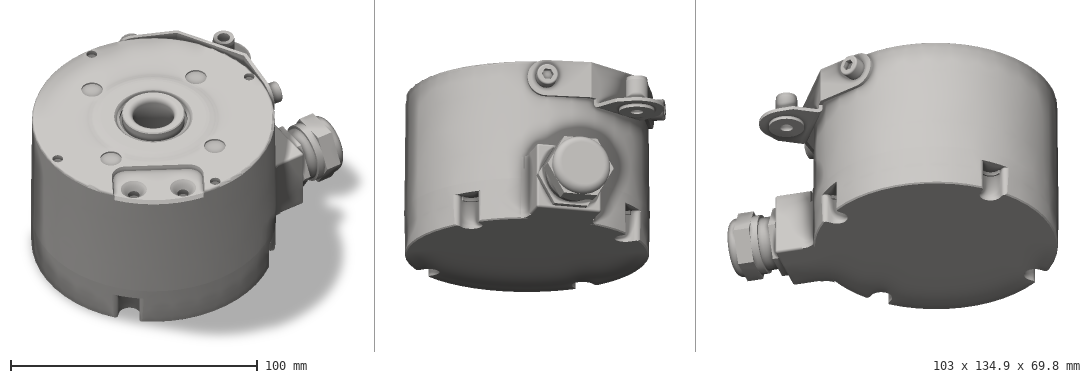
import cadquery as cq
import math

base_radius = 49.5
seam_radius = 49.8
cover_radius = 49.2
seam_height = 17.1
cover_top = 67.0
rim_round = 1.1
base_chamfer = 0.5

cone_foot_radius = 26.4
cone_outer_radius = 25.2
cone_inner_radius = 22.8
cone_head_radius = 21.5
cone_rise = 0.8
cone_edge_rise = 0.1
groove_outer_radius = 15.9
groove_shelf_outer_radius = 14.8
groove_shelf_inner_radius = 13.8
groove_shelf_depth = 1.3
groove_depth = 2.7
shaft_radius = 12.7
shaft_top = 69.8
shaft_chamfer = 0.4
bore_radius = 8.4
bore_round = 2.2
bore_floor = seam_height
centre_hole_radius = 3.0
centre_hole_depth = 4.0

blind_hole_radius = 4.3
blind_hole_circle = 30.2
blind_hole_angle = 22.5
blind_hole_depth = 0.8
cover_screw_radius = 2.2
cover_screw_circle = 46.1
cover_screw_depth = 2.0
drill_point_angle = 118

pocket_angle = -30
pocket_inner = 29.7
pocket_half_width = 18.1
pocket_depth = 2.0
pocket_corner = 5.4
pocket_wall_slope = 15
pocket_edge_chamfer = 1.2
sink_distance = 41.0
sink_spacing = 20.0
sink_radius = 5.3
sink_hole_radius = 2.3
sink_hole_depth = 5.4

notch_angles = (45, 135, 225, 315)
notch_circle = 45.8
notch_radius = 4.5
notch_mouth = 49.2
notch_mouth_half_width = 6.5
notch_height = 13.0
notch_shelf_height = 11.3
notch_upper_radius = 3.8

box_half_width = 13.5
box_height = 27.0
box_end = 63.9
box_round = 1.0
flare_start = 51.5
flare_end = 47.2
flare_half_width = 15.6
relief_inner = 47.7
relief_outer = 48.7
relief_floor = 20.9
gland_height = 13.2
gland_hex_flats = 24.0
gland_nut_end = 66.7
gland_neck_end = 71.9
gland_collar_end = 74.8
gland_hex_end = 81.3
gland_end = 85.1
gland_neck_radius = 10.8
gland_cap_radius = 12.0
gland_cap_round = 3.0

bracket_angle = 120
fold_angle = 36.9
sheet = 1.5
middle_inner = 50.4
side_inner = 49.5
bracket_top = cover_top
bracket_height = 15.0
bracket_bottom = bracket_top - bracket_height
screw_height = bracket_top - bracket_height / 2
screw_head_radius = 4.3
screw_head_end = 56.2
screw_head_round = 0.7
socket_across_corners = 4.9
socket_depth = 2.4

tab_half_width = 12.7
tab_bottom = 48.4
tab_shoulder = 62.7
tab_end_radius = 11.0
tab_taper = 60
bend_radius = 0.8
pin_distance = 62.3
pin_radius = 4.5
pin_top = 61.4
pin_chamfer_height = 1.6
pin_chamfer_width = 0.3
pin_bore_radius = 2.5
washer_radius = 5.5
washer_thickness = 1.1
pin_flange_radius = 7.1
pin_flange_thickness = 1.3


quarter_arc_middle = math.cos(math.radians(45))


def cylinder(radius, bottom, top, x=0, y=0):
    return cq.Workplane("XY", origin=(x, y, bottom)).circle(radius).extrude(top - bottom)


def drilled_hole(radius, bottom, top, x, y):
    point_depth = radius / math.tan(math.radians(drill_point_angle / 2))
    point = cq.Solid.makeCone(0, radius, point_depth, cq.Vector(x, y, bottom - point_depth))
    return cylinder(radius, bottom, top, x, y).union(cq.Workplane(point))


def about_axis(shape, angle):
    return shape.rotate((0, 0, 0), (0, 0, 1), angle)


def on_circle(radius, count, start):
    return [
        (radius * math.cos(math.radians(start + i * 360 / count)),
         radius * math.sin(math.radians(start + i * 360 / count)))
        for i in range(count)
    ]


def round_housing():
    cone_top = cover_top + cone_rise
    rim_diagonal = rim_round * quarter_arc_middle
    bore_diagonal = bore_round * quarter_arc_middle
    bore_centre = bore_radius + bore_round
    profile = (
        cq.Workplane("XZ")
        .moveTo(0, 0)
        .lineTo(base_radius - base_chamfer, 0)
        .lineTo(base_radius, base_chamfer)
        .lineTo(seam_radius, seam_height)
        .lineTo(cover_radius, cover_top - rim_round)
        .threePointArc(
            (cover_radius - rim_round + rim_diagonal, cover_top - rim_round + rim_diagonal),
            (cover_radius - rim_round, cover_top),
        )
        .lineTo(cone_foot_radius, cover_top)
        .lineTo(cone_outer_radius, cover_top + cone_edge_rise)
        .lineTo(cone_inner_radius, cone_top - cone_edge_rise)
        .lineTo(cone_head_radius, cone_top)
        .lineTo(groove_outer_radius, cone_top)
        .lineTo(groove_shelf_outer_radius, cone_top - groove_shelf_depth)
        .lineTo(groove_shelf_inner_radius, cone_top - groove_shelf_depth)
        .lineTo(groove_shelf_inner_radius, cone_top - groove_depth)
        .lineTo(shaft_radius, cone_top - groove_depth)
        .lineTo(shaft_radius, shaft_top - shaft_chamfer)
        .lineTo(shaft_radius - shaft_chamfer, shaft_top)
        .lineTo(bore_centre, shaft_top)
        .threePointArc(
            (bore_centre - bore_diagonal, shaft_top - bore_round + bore_diagonal),
            (bore_radius, shaft_top - bore_round),
        )
        .lineTo(bore_radius, bore_floor)
        .lineTo(centre_hole_radius, bore_floor)
        .lineTo(centre_hole_radius, bore_floor - centre_hole_depth)
        .lineTo(0, bore_floor - centre_hole_depth)
        .close()
    )
    return profile.revolve(360, (0, 0, 0), (0, 1, 0))


def connection_box():
    length = box_end - flare_end
    box = (
        cq.Workplane("XY", origin=(0, flare_end + length / 2, 0))
        .rect(2 * box_half_width, length)
        .extrude(box_height)
        .edges("|Y")
        .fillet(box_round)
        .faces(">Y")
        .edges()
        .fillet(box_round)
    )
    flare = (
        cq.Workplane("XY")
        .moveTo(box_half_width, flare_start + box_round)
        .lineTo(box_half_width, flare_start)
        .tangentArcPoint((flare_half_width, flare_end), relative=False)
        .lineTo(0, flare_end)
        .lineTo(0, flare_start + box_round)
        .close()
        .extrude(box_height - box_round)
    )
    return box.union(flare).union(flare.mirror("YZ"))


def gland():
    across_corners = gland_hex_flats / math.cos(math.radians(30))

    def section_at(end):
        return cq.Workplane("XZ", origin=(0, end, gland_height))

    def hexagon(start, end):
        return section_at(end).polygon(6, across_corners).extrude(end - start)

    def disc(radius, start, end):
        return section_at(end).circle(radius).extrude(end - start)

    cap = disc(gland_cap_radius, gland_hex_end, gland_end).faces(">Y").edges().fillet(gland_cap_round)
    return (
        hexagon(box_end, gland_nut_end)
        .union(disc(gland_neck_radius, gland_nut_end, gland_neck_end))
        .union(disc(gland_cap_radius, gland_neck_end, gland_collar_end))
        .union(hexagon(gland_collar_end, gland_hex_end))
        .union(cap)
    )


def box_relief():
    return (
        cq.Workplane("XY", origin=(0, (relief_inner + relief_outer) / 2, relief_floor))
        .rect(2 * flare_half_width, relief_outer - relief_inner)
        .extrude(box_height - relief_floor)
    )


def cover_holes():
    blind_floor = cover_top - blind_hole_depth
    screw_floor = cover_top - cover_screw_depth
    holes = cq.Workplane("XY")
    for x, y in on_circle(blind_hole_circle, 4, blind_hole_angle):
        holes = holes.union(cylinder(blind_hole_radius, blind_floor, shaft_top, x, y))
    for x, y in on_circle(cover_screw_circle, 4, 0):
        holes = holes.union(drilled_hole(cover_screw_radius, screw_floor, shaft_top, x, y))
    return holes


def edge_pocket():
    floor = cover_top - pocket_depth
    length = seam_radius
    middle = pocket_inner + length / 2
    outline = cq.Sketch().rect(length, 2 * pocket_half_width).vertices().fillet(pocket_corner)
    pocket = (
        cq.Workplane("XY", origin=(middle, 0, floor))
        .placeSketch(outline)
        .extrude(pocket_depth, taper=-pocket_wall_slope)
    )
    rim = (
        cq.Workplane("XZ")
        .moveTo(cover_radius - pocket_edge_chamfer, floor)
        .lineTo(seam_radius, floor)
        .lineTo(seam_radius, floor - pocket_edge_chamfer)
        .lineTo(cover_radius, floor - pocket_edge_chamfer)
        .close()
        .revolve(360, (0, 0, 0), (0, 1, 0))
    )
    sector = (
        cq.Workplane("XY", origin=(middle, 0, 0))
        .rect(length, 2 * pocket_half_width)
        .extrude(cover_top)
    )
    pocket = pocket.union(rim.intersect(sector))
    hole_bottom = floor - sink_hole_depth
    sink_depth = sink_radius - sink_hole_radius
    for y in (-sink_spacing / 2, sink_spacing / 2):
        sink_bottom = cq.Vector(sink_distance, y, floor - sink_depth)
        sink = cq.Solid.makeCone(sink_hole_radius, sink_radius, sink_depth, sink_bottom)
        pocket = pocket.union(cq.Workplane(sink))
        pocket = pocket.union(drilled_hole(sink_hole_radius, hole_bottom, floor, sink_distance, y))
    return about_axis(pocket, pocket_angle)


def base_notch():
    reach = seam_radius + 1.3
    lip_round = notch_mouth_half_width - notch_radius
    mouth = (
        cq.Workplane("XY")
        .moveTo(reach, notch_mouth_half_width)
        .lineTo(notch_mouth, notch_mouth_half_width)
        .radiusArc((notch_mouth - lip_round, notch_radius), lip_round)
        .lineTo(notch_circle, notch_radius)
        .lineTo(notch_circle, -notch_radius)
        .lineTo(notch_mouth - lip_round, -notch_radius)
        .radiusArc((notch_mouth, -notch_mouth_half_width), lip_round)
        .lineTo(reach, -notch_mouth_half_width)
        .close()
        .extrude(notch_height)
    )
    recess = cylinder(notch_radius, 0, notch_shelf_height, notch_circle)
    upper_recess = cylinder(notch_upper_radius, 0, notch_height, notch_circle)
    return mouth.union(recess).union(upper_recess)


def make_encoder():
    encoder = round_housing().union(connection_box()).union(gland())
    encoder = encoder.cut(box_relief()).cut(cover_holes()).cut(edge_pocket())
    for angle in notch_angles:
        encoder = encoder.cut(about_axis(base_notch(), angle))
    return encoder


def folded_strip():
    cos_fold = math.cos(math.radians(fold_angle))
    sin_fold = math.sin(math.radians(fold_angle))

    def half_line(offset):
        middle = middle_inner + offset
        side = side_inner + offset
        corner = (middle, (side - middle * cos_fold) / sin_fold)
        end = (side * cos_fold, side * sin_fold)
        return [corner, end]

    outer = half_line(sheet)
    inner = half_line(0)
    half = outer + inner[::-1]
    mirrored = [(x, -y) for x, y in half[::-1]]
    return (
        cq.Workplane("XY", origin=(0, 0, bracket_bottom))
        .polyline(half + mirrored)
        .close()
        .extrude(bracket_height)
    )


def rounded_end_with_screw():
    side_outer = side_inner + sheet
    end = (
        cq.Workplane("YZ", origin=(side_inner, 0, screw_height))
        .circle(bracket_height / 2)
        .extrude(sheet)
    )
    head = (
        cq.Workplane("YZ", origin=(side_outer, 0, screw_height))
        .circle(screw_head_radius)
        .extrude(screw_head_end - side_outer)
        .faces(">X")
        .edges()
        .fillet(screw_head_round)
    )
    socket = (
        cq.Workplane("YZ", origin=(screw_head_end - socket_depth, 0, screw_height))
        .polygon(6, socket_across_corners)
        .extrude(socket_depth)
    )
    return end.union(head.cut(socket))


def tab():
    tab_top = tab_bottom + sheet
    middle_outer = middle_inner + sheet
    outer_bend = bend_radius + sheet
    bend_x = middle_outer + bend_radius
    bend_z = tab_top + bend_radius
    outer_diagonal = outer_bend * quarter_arc_middle
    inner_diagonal = bend_radius * quarter_arc_middle
    bent = (
        cq.Workplane("XZ", origin=(0, tab_half_width, 0))
        .moveTo(middle_inner, bracket_bottom)
        .lineTo(middle_inner, bend_z)
        .threePointArc((bend_x - outer_diagonal, bend_z - outer_diagonal), (bend_x, tab_bottom))
        .lineTo(tab_shoulder, tab_bottom)
        .lineTo(tab_shoulder, tab_top)
        .lineTo(bend_x, tab_top)
        .threePointArc((bend_x - inner_diagonal, bend_z - inner_diagonal), (middle_outer, bend_z))
        .lineTo(middle_outer, bracket_bottom)
        .close()
        .extrude(2 * tab_half_width)
    )
    tangent_x = pin_distance + tab_end_radius * math.cos(math.radians(tab_taper))
    tangent_y = tab_end_radius * math.sin(math.radians(tab_taper))
    tip = (
        cq.Workplane("XY", origin=(0, 0, tab_bottom))
        .moveTo(tab_shoulder, -tab_half_width)
        .lineTo(tangent_x, -tangent_y)
        .threePointArc((pin_distance + tab_end_radius, 0), (tangent_x, tangent_y))
        .lineTo(tab_shoulder, tab_half_width)
        .close()
        .extrude(sheet)
    )
    return bent.union(tip)


def pin():
    tab_top = tab_bottom + sheet
    post = (
        cylinder(pin_radius, tab_bottom, pin_top, pin_distance)
        .faces(">Z")
        .edges()
        .chamfer(pin_chamfer_height, pin_chamfer_width)
    )
    washer = cylinder(washer_radius, tab_top, tab_top + washer_thickness, pin_distance)
    flange = cylinder(pin_flange_radius, tab_bottom - pin_flange_thickness, tab_bottom, pin_distance)
    return post.union(washer).union(flange)


def make_bracket():
    bracket = folded_strip().union(tab()).union(pin())
    for angle in (-fold_angle, fold_angle):
        bracket = bracket.union(about_axis(rounded_end_with_screw(), angle))
    pin_bore = cylinder(pin_bore_radius, tab_bottom - pin_flange_thickness, pin_top, pin_distance)
    return about_axis(bracket.cut(pin_bore), bracket_angle)


encoder = make_encoder()
bracket = make_bracket()
result = cq.Compound.makeCompound([encoder.val(), bracket.val()])